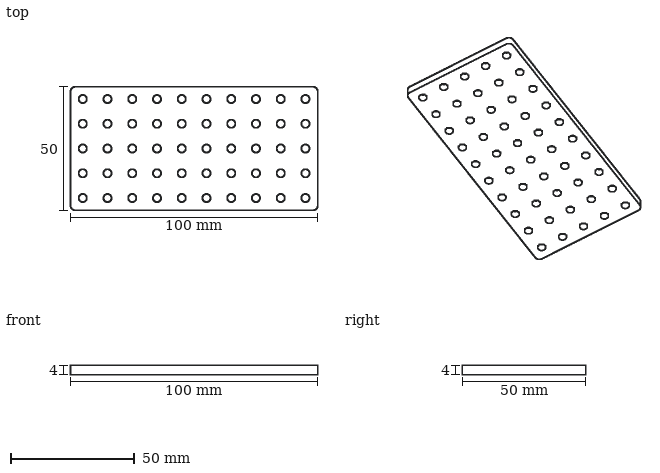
import cadquery as cq

hole_pitch = 10.0
columns = 10
rows = 5
hole_diameter = 3.2
thickness = 4.0
corner_radius = 2.0

length = columns * hole_pitch
width = rows * hole_pitch


def make_plate():
    """Flat plate with rounded vertical corners, resting on Z = 0."""
    plate = cq.Workplane("XY").box(length, width, thickness, centered=(True, True, False))
    return plate.edges("|Z").fillet(corner_radius)


def drill_hole_grid(plate):
    """Drill the centred grid of plain holes through the plate."""
    top_face = plate.faces(">Z").workplane()
    return top_face.rarray(hole_pitch, hole_pitch, columns, rows).hole(hole_diameter)


result = drill_hole_grid(make_plate())